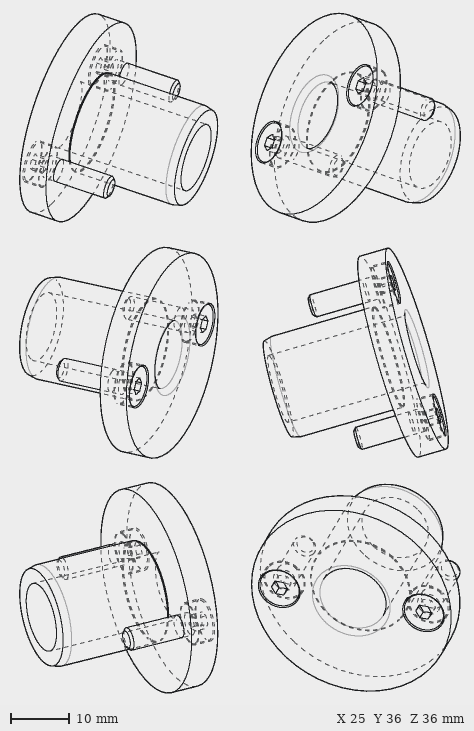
import cadquery as cq
import math

flange_diameter = 36.0
flange_thickness = 5.0
overall_length = 25.0
barrel_diameter = 18.0
bore_diameter = 12.0
bore_mouth_radius = 1.0
barrel_lead_length = 1.45
barrel_lead_angle = 15.0
relief_width = 0.2
relief_depth = 0.1

screw_offset = 13.0
shank_diameter = 4.0
screw_tip_x = 15.0
screw_tip_chamfer = 0.45
counterbore_diameter = 7.5
counterbore_depth = 3.0
head_diameter = 7.05
head_recess = 0.2
hex_across_flats = 2.52
socket_depth = 2.0
socket_tip_angle = 120.0

flange_radius = flange_diameter / 2
barrel_radius = barrel_diameter / 2
bore_radius = bore_diameter / 2
shank_radius = shank_diameter / 2
counterbore_radius = counterbore_diameter / 2
head_radius = head_diameter / 2
hex_across_corners = hex_across_flats / math.cos(math.radians(30))


def revolve_about_x(profile):
    """Revolve a closed (x, radius) profile around the X axis."""
    return profile.close().revolve(360, (0, 0, 0), (1, 0, 0))


def make_screw_hole(y):
    """Counterbored volume through the flange."""
    profile = (
        cq.Workplane("XY")
        .lineTo(0, counterbore_radius)
        .lineTo(counterbore_depth, counterbore_radius)
        .lineTo(counterbore_depth, shank_radius)
        .lineTo(flange_thickness, shank_radius)
        .lineTo(flange_thickness, 0)
    )
    return revolve_about_x(profile).translate((0, y, 0))


def make_bushing():
    """Flange and barrel with a rounded bore mouth and two screw holes."""
    lead_drop = barrel_lead_length * math.tan(math.radians(barrel_lead_angle))
    relief_radius = barrel_radius - relief_depth
    relief_end = flange_thickness + relief_width
    arc_offset = bore_mouth_radius * (1 - math.sqrt(0.5))
    profile = (
        cq.Workplane("XY")
        .moveTo(0, bore_radius + bore_mouth_radius)
        .lineTo(0, flange_radius)
        .lineTo(flange_thickness, flange_radius)
        .lineTo(flange_thickness, relief_radius)
        .lineTo(relief_end, relief_radius)
        .lineTo(relief_end, barrel_radius)
        .lineTo(overall_length - barrel_lead_length, barrel_radius)
        .lineTo(overall_length, barrel_radius - lead_drop)
        .lineTo(overall_length, bore_radius)
        .lineTo(bore_mouth_radius, bore_radius)
        .threePointArc((arc_offset, bore_radius + arc_offset), (0, bore_radius + bore_mouth_radius))
    )
    body = revolve_about_x(profile)
    for y in (-screw_offset, screw_offset):
        body = body.cut(make_screw_hole(y))
    return body


def make_socket():
    """Hexagonal key socket with a conical bottom."""
    corner_radius = hex_across_corners / 2
    socket_end = head_recess + socket_depth
    tip_length = corner_radius / math.tan(math.radians(socket_tip_angle / 2))
    hexagon = (
        cq.Workplane("YZ", origin=(head_recess, 0, 0))
        .polygon(6, hex_across_corners)
        .extrude(socket_depth + tip_length)
    )
    drill_profile = (
        cq.Workplane("XY")
        .moveTo(head_recess, 0)
        .lineTo(head_recess, corner_radius)
        .lineTo(socket_end, corner_radius)
        .lineTo(socket_end + tip_length, 0)
    )
    return hexagon.intersect(revolve_about_x(drill_profile))


def make_screw(y):
    """Low-head screw seated on the counterbore floor, its head slightly below the flange face."""
    profile = (
        cq.Workplane("XY")
        .moveTo(head_recess, 0)
        .lineTo(head_recess, head_radius)
        .lineTo(counterbore_depth, head_radius)
        .lineTo(counterbore_depth, shank_radius)
        .lineTo(screw_tip_x - screw_tip_chamfer, shank_radius)
        .lineTo(screw_tip_x, shank_radius - screw_tip_chamfer)
        .lineTo(screw_tip_x, 0)
    )
    return revolve_about_x(profile).cut(make_socket()).translate((0, y, 0))


bushing = make_bushing()
screws = [make_screw(y) for y in (-screw_offset, screw_offset)]

result = cq.Compound.makeCompound([bushing.val(), *[screw.val() for screw in screws]])